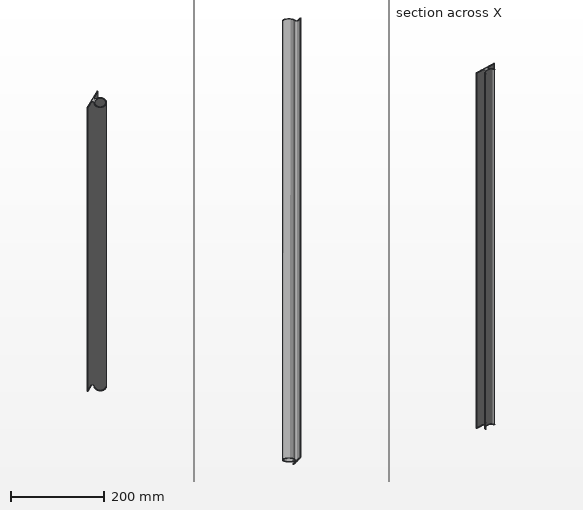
import math

import cadquery as cq

length = 1000.0
plate_width = 50.0
plate_thickness = 2.0
overall_depth = 33.0
tube_diameter = 27.0
tube_wall = 2.0
neck_fillet = 3.0

tube_radius = tube_diameter / 2
tube_center_x = overall_depth - tube_radius

arc_center_x = plate_thickness + neck_fillet
center_gap = tube_radius + neck_fillet
arc_center_y = math.sqrt(center_gap**2 - (tube_center_x - arc_center_x) ** 2)
tube_tangent_x = arc_center_x + neck_fillet * (tube_center_x - arc_center_x) / center_gap
tube_tangent_y = arc_center_y * tube_radius / center_gap


def tube_cylinder(radius):
    """Full-length cylinder on the tube axis."""
    return cq.Workplane("XY").center(tube_center_x, 0).circle(radius).extrude(length)


def make_neck():
    """Web between plate and tube, with concave sides and its ends buried in both."""
    return (
        cq.Workplane("XY")
        .moveTo(0, -arc_center_y)
        .lineTo(plate_thickness, -arc_center_y)
        .radiusArc((tube_tangent_x, -tube_tangent_y), neck_fillet)
        .lineTo(tube_center_x, 0)
        .lineTo(tube_tangent_x, tube_tangent_y)
        .radiusArc((plate_thickness, arc_center_y), neck_fillet)
        .lineTo(0, arc_center_y)
        .close()
        .extrude(length)
    )


plate = cq.Workplane("XY").box(
    plate_thickness, plate_width, length, centered=(False, True, False)
)
bore = tube_cylinder(tube_radius - tube_wall)
result = plate.union(make_neck()).union(tube_cylinder(tube_radius)).cut(bore)